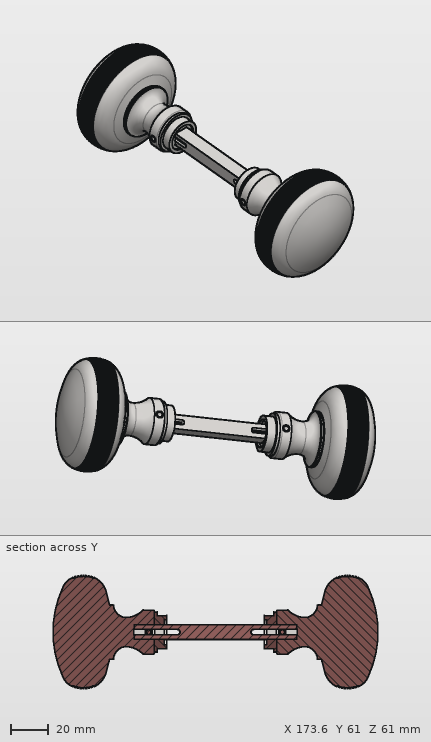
import math

import cadquery as cq


spindle_side = 8.0
spindle_half_length = 43.5
groove_mouth = 2.8
groove_depth = 1.0
groove_wall_angle = 45.0
groove_end_station = -19.0

face_station = -86.8
dome_edge_station = -81.6
dome_edge_radius = 23.6
front_shoulder_arc = 10.0
rim_diameter = 61.0
band_centre_station = -70.3
band_width = 12.0
band_edge_radius = 29.4
back_shoulder_arc = 12.0
cone_start_station = -57.8
cone_start_radius = 20.8

rim_groove_count = 8
rim_groove_mouth = 1.0
rim_groove_floor = 0.3
rim_groove_depth = 0.5

ring_start_station = -56.3
ring_end_station = -54.2
ring_radius = 15.1
ring_bevel_length = 0.5
ring_bevel_height = 0.2
waist_station = -47.8
waist_radius = 8.9
collar_start_station = -38.5
collar_end_station = -32.5
collar_radius = 12.5
collar_fillet = 0.7

flange_radius = 11.5
flange_end_station = -31.0
sleeve_radius = 9.7
sleeve_end_station = -25.9
sleeve_recess_radius = 7.6
sleeve_recess_depth = 1.4

screw_station = -35.6
screw_radius = 1.9
screw_recess = 0.2
screw_cup_radius = 1.4
screw_cup_depth = 1.2

rim_radius = rim_diameter / 2
band_start_station = band_centre_station - band_width / 2
band_end_station = band_centre_station + band_width / 2
ring_edge_radius = ring_radius - ring_bevel_height
screw_head_distance = collar_radius - screw_recess
screw_tip_distance = spindle_side / 2 - groove_depth
screw_tip_radius = groove_mouth / 2 - groove_depth * math.tan(math.radians(groove_wall_angle))


def level_arc_radius(run, rise):
    """Radius of an arc that starts level and climbs by rise over a distance run."""
    return (run**2 + rise**2) / (2 * rise)


band_arc = level_arc_radius(band_width / 2, rim_radius - band_edge_radius)


def band_radius(station):
    """Radius of the crowned rim band at an X station."""
    offset = station - band_centre_station
    return rim_radius - band_arc + math.sqrt(band_arc**2 - offset**2)


def revolve_about_x(profile):
    return profile.close().revolve(360, (0, 0, 0), (1, 0, 0))


def revolve_about_y(profile):
    return profile.close().revolve(360, (0, 0, 0), (0, 1, 0))


def make_spindle():
    bar = (
        cq.Workplane("YZ", origin=(-spindle_half_length, 0, 0))
        .rect(spindle_side, spindle_side)
        .extrude(2 * spindle_half_length)
    )
    slot_length = 2 * (spindle_half_length + groove_end_station)
    for bar_end in (-spindle_half_length, spindle_half_length):
        groove = (
            cq.Workplane("XZ", origin=(bar_end, -spindle_side / 2, 0))
            .slot2D(slot_length, groove_mouth)
            .extrude(-groove_depth, taper=groove_wall_angle)
        )
        bar = bar.cut(groove)
    return bar


def make_knob_blank():
    """Solid knob from the domed face to the end of the collar."""
    dome_arc = level_arc_radius(dome_edge_radius, dome_edge_station - face_station)
    neck_arc = level_arc_radius(waist_station - ring_end_station, ring_edge_radius - waist_radius)
    flare_arc = level_arc_radius(collar_start_station - waist_station, collar_radius - waist_radius)
    profile = (
        cq.Workplane("XY")
        .moveTo(face_station, 0)
        .radiusArc((dome_edge_station, dome_edge_radius), dome_arc)
        .radiusArc((band_start_station, band_edge_radius), front_shoulder_arc)
        .radiusArc((band_end_station, band_edge_radius), band_arc)
        .radiusArc((cone_start_station, cone_start_radius), back_shoulder_arc)
        .lineTo(ring_start_station, ring_edge_radius)
        .lineTo(ring_start_station + ring_bevel_length, ring_radius)
        .lineTo(ring_end_station - ring_bevel_length, ring_radius)
        .lineTo(ring_end_station, ring_edge_radius)
        .radiusArc((waist_station, waist_radius), -neck_arc)
        .radiusArc((collar_start_station, collar_radius), -flare_arc)
        .lineTo(collar_end_station - collar_fillet, collar_radius)
        .radiusArc((collar_end_station, collar_radius - collar_fillet), collar_fillet)
        .lineTo(collar_end_station, 0)
    )
    return revolve_about_x(profile)


def make_rim_groove(station):
    """Ring with sloping sides that cuts one groove into the rim band."""
    left = station - rim_groove_mouth / 2
    right = station + rim_groove_mouth / 2
    floor_radius = band_radius(station) - rim_groove_depth
    clear_radius = rim_radius + rim_groove_depth
    profile = cq.Workplane("XY").polyline(
        [
            (left, clear_radius),
            (left, band_radius(left)),
            (station - rim_groove_floor / 2, floor_radius),
            (station + rim_groove_floor / 2, floor_radius),
            (right, band_radius(right)),
            (right, clear_radius),
        ]
    )
    return revolve_about_x(profile)


def make_knob():
    knob = make_knob_blank()
    pitch = band_width / rim_groove_count
    for index in range(rim_groove_count):
        knob = knob.cut(make_rim_groove(band_start_station + (index + 0.5) * pitch))
    spindle_socket = (
        cq.Workplane("YZ", origin=(-spindle_half_length, 0, 0))
        .rect(spindle_side, spindle_side)
        .extrude(spindle_half_length)
    )
    screw_hole = (
        cq.Workplane("XZ", origin=(screw_station, 0, 0)).circle(screw_radius).extrude(collar_radius)
    )
    return knob.cut(spindle_socket).cut(screw_hole)


def make_bushing():
    """Flanged sleeve that butts against the collar, square-holed, with a shallow round end recess."""
    flange_length = flange_end_station - collar_end_station
    sleeve_length = sleeve_end_station - collar_end_station
    base = cq.Workplane("YZ", origin=(collar_end_station, 0, 0))
    flange = base.circle(flange_radius).extrude(flange_length)
    sleeve = base.circle(sleeve_radius).extrude(sleeve_length)
    spindle_hole = base.rect(spindle_side, spindle_side).extrude(sleeve_length)
    recess = (
        cq.Workplane("YZ", origin=(sleeve_end_station, 0, 0))
        .circle(sleeve_recess_radius)
        .extrude(-sleeve_recess_depth)
    )
    return flange.union(sleeve).cut(spindle_hole).cut(recess)


def make_set_screw():
    """Headless screw with a conical cup outside and a tapered tip that fits the groove."""
    taper_length = (screw_radius - screw_tip_radius) / math.tan(math.radians(groove_wall_angle))
    profile = (
        cq.Workplane("XY")
        .moveTo(0, -screw_tip_distance)
        .lineTo(screw_tip_radius, -screw_tip_distance)
        .lineTo(screw_radius, -screw_tip_distance - taper_length)
        .lineTo(screw_radius, -screw_head_distance)
        .lineTo(screw_cup_radius, -screw_head_distance)
        .lineTo(0, -screw_head_distance + screw_cup_depth)
    )
    return revolve_about_y(profile).translate((screw_station, 0, 0))


spindle = make_spindle()
left_bodies = [make_knob(), make_bushing(), make_set_screw()]
right_bodies = [body.mirror("YZ") for body in left_bodies]

result = cq.Compound.makeCompound(
    [body.val() for body in [spindle, *left_bodies, *right_bodies]]
)